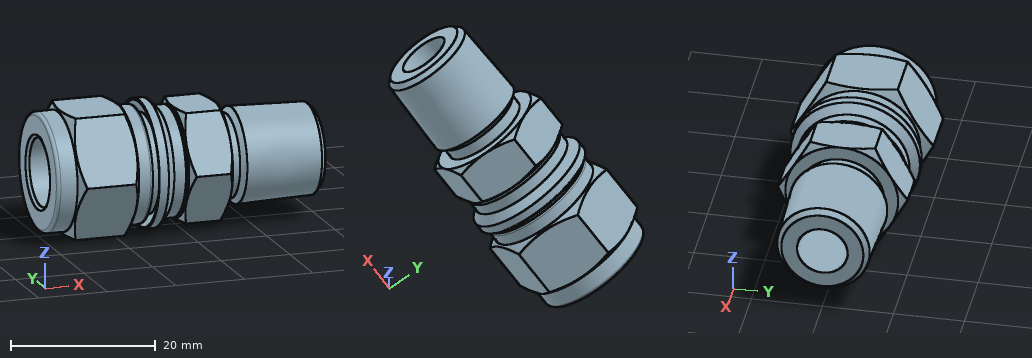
import cadquery as cq
import math


overall_length = 40.01
nut_hex_start = 2.93
nut_hex_end = 11.95
nut_end = 14.0
flange_start = 14.7
neck_end = 15.4
flange_end = 16.05
shoulder_start = 17.25
body_hex_start = 19.4
body_hex_end = 25.8
thread_start = 27.5

nut_collar_dia = 17.0
nut_sleeve_dia = 16.8
neck_dia = 14.28
groove_dia = 12.5
flange_dia = 18.25
recess_rim_dia = 17.75
shoulder_dia = 15.8
relief_dia = 11.99
thread_tip_dia = 13.05
thread_taper = 1 / 16

nut_across_flats = 17.46
body_across_flats = 15.875
hex_chamfer_angle = 30

nut_fillet = 0.5
nut_sleeve_chamfer = 0.35
nut_sleeve_chamfer_drop = 0.1
shoulder_chamfer = 0.45
thread_chamfer = 0.75

through_bore_dia = 7.11
tube_bore_dia = 9.73
tube_bore_depth = 16.0
tube_lead_in_dia = 10.6
tube_lead_in_depth = 0.435


def cylinder(start, end, diameter):
    return cq.Workplane("YZ", origin=(start, 0, 0)).circle(diameter / 2).extrude(end - start)


def revolve_about_x(points):
    return cq.Workplane("XY").polyline(points).close().revolve(360, (0, 0, 0), (1, 0, 0))


def chamfered_hex(start, end, across_flats, start_face_dia, end_face_dia):
    """Hexagonal prism with corners on the Y axis and its corners turned to a cone at both ends."""
    corner_dia = across_flats / math.cos(math.radians(30))
    prism = cq.Workplane("YZ", origin=(start, 0, 0)).polygon(6, corner_dia).extrude(end - start)
    slope = math.tan(math.radians(hex_chamfer_angle))
    start_length = (corner_dia - start_face_dia) / 2 * slope
    end_length = (corner_dia - end_face_dia) / 2 * slope
    envelope = revolve_about_x([
        (start, 0),
        (start, start_face_dia / 2),
        (start + start_length, corner_dia / 2),
        (end - end_length, corner_dia / 2),
        (end, end_face_dia / 2),
        (end, 0),
    ])
    return prism.intersect(envelope)


def make_nut():
    collar = cylinder(0, nut_hex_start, nut_collar_dia).faces("<X").edges().fillet(nut_fillet)
    hexagon = chamfered_hex(nut_hex_start, nut_hex_end, nut_across_flats, nut_collar_dia, nut_sleeve_dia)
    sleeve = cylinder(nut_hex_end, nut_end, nut_sleeve_dia)
    sleeve = sleeve.faces(">X").edges().chamfer(nut_sleeve_chamfer, nut_sleeve_chamfer_drop)
    return collar.union(hexagon).union(sleeve)


def make_body():
    """Neck, groove and flange with a 45 degree conical recess in its face, then the body hexagon."""
    neck_chamfer = (neck_dia - groove_dia) / 2
    recess_bottom = flange_start + (recess_rim_dia - groove_dia) / 2
    turned = revolve_about_x([
        (nut_end, 0),
        (nut_end, neck_dia / 2),
        (neck_end, neck_dia / 2),
        (neck_end + neck_chamfer, groove_dia / 2),
        (recess_bottom, groove_dia / 2),
        (flange_start, recess_rim_dia / 2),
        (flange_start, flange_dia / 2),
        (flange_end, flange_dia / 2),
        (shoulder_start, shoulder_dia / 2),
        (body_hex_start - shoulder_chamfer, shoulder_dia / 2),
        (body_hex_start, shoulder_dia / 2 - shoulder_chamfer),
        (body_hex_start, 0),
    ])
    hexagon = chamfered_hex(
        body_hex_start, body_hex_end, body_across_flats, body_across_flats, body_across_flats
    )
    return turned.union(hexagon)


def make_thread():
    """Relief groove and plain taper standing for the thread, chamfered at both ends."""
    relief = cylinder(body_hex_end, thread_start, relief_dia)
    taper_start = thread_start + thread_chamfer
    taper_end = overall_length - thread_chamfer
    thread_root_dia = thread_tip_dia + (taper_end - taper_start) * thread_taper
    taper = revolve_about_x([
        (thread_start, 0),
        (thread_start, relief_dia / 2),
        (taper_start, thread_root_dia / 2),
        (taper_end, thread_tip_dia / 2),
        (overall_length, thread_tip_dia / 2 - thread_chamfer),
        (overall_length, 0),
    ])
    return relief.union(taper)


def make_bores():
    through_bore = cylinder(0, overall_length, through_bore_dia)
    tube_bore = cylinder(0, tube_bore_depth, tube_bore_dia)
    lead_in = revolve_about_x([
        (0, 0),
        (0, tube_lead_in_dia / 2),
        (tube_lead_in_depth, tube_bore_dia / 2),
        (tube_lead_in_depth, 0),
    ])
    return through_bore.union(tube_bore).union(lead_in)


result = make_nut().union(make_body()).union(make_thread()).cut(make_bores())